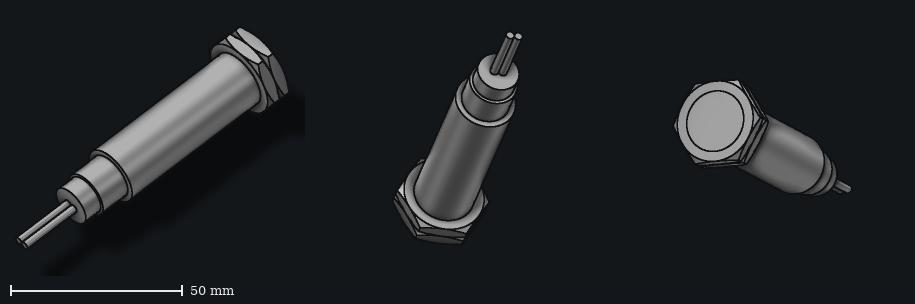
import cadquery as cq
import math

OVERALL_LENGTH = 96.0
SENSING_FACE_Y = OVERALL_LENGTH / 2

BARREL_DIAMETER = 18.0
BARREL_LENGTH = 60.0
COLLAR_DIAMETER = 14.4
COLLAR_LENGTH = 10.0
GLAND_DIAMETER = 12.5

CORE_DIAMETER = 2.5
CORE_GAP = 0.01
CABLE_LENGTH = 20.0

NUT_COUNT = 2
NUT_ACROSS_FLATS = 24.0
NUT_THICKNESS = 4.0
NUT_CHAMFER_ANGLE = 30.0

CORE_SPACING = CORE_DIAMETER + CORE_GAP
GLAND_LENGTH = OVERALL_LENGTH - BARREL_LENGTH - COLLAR_LENGTH - CABLE_LENGTH
NUT_ACROSS_CORNERS = NUT_ACROSS_FLATS / math.cos(math.radians(30))


def workplane_at(y):
    """XZ workplane at the given Y; positive extrusion runs toward -Y."""
    return cq.Workplane("XZ", origin=(0, y, 0))


def make_housing():
    """Stepped housing with its twin cable as one solid."""
    collar_start = SENSING_FACE_Y - BARREL_LENGTH
    gland_start = collar_start - COLLAR_LENGTH
    cable_start = gland_start - GLAND_LENGTH

    barrel = workplane_at(SENSING_FACE_Y).circle(BARREL_DIAMETER / 2).extrude(BARREL_LENGTH)
    collar = workplane_at(collar_start).circle(COLLAR_DIAMETER / 2).extrude(COLLAR_LENGTH)
    gland = workplane_at(gland_start).circle(GLAND_DIAMETER / 2).extrude(GLAND_LENGTH)
    body = barrel.union(collar).union(gland)

    for side in (-1, 1):
        core = (
            workplane_at(cable_start)
            .center(side * CORE_SPACING / 2, 0)
            .circle(CORE_DIAMETER / 2)
            .extrude(CABLE_LENGTH)
        )
        body = body.union(core)
    return body


def make_nut(back_y):
    """Hexagon nut with conically chamfered corners on both faces, bored to fit the barrel."""
    face_radius = NUT_ACROSS_FLATS / 2
    corner_radius = NUT_ACROSS_CORNERS / 2
    chamfer_height = (corner_radius - face_radius) * math.tan(math.radians(NUT_CHAMFER_ANGLE))
    front_y = back_y - NUT_THICKNESS

    hexagon = workplane_at(back_y).polygon(6, NUT_ACROSS_CORNERS).extrude(NUT_THICKNESS)
    chamfer_envelope = (
        cq.Workplane("XY")
        .moveTo(0, back_y)
        .lineTo(face_radius, back_y)
        .lineTo(corner_radius, back_y - chamfer_height)
        .lineTo(corner_radius, front_y + chamfer_height)
        .lineTo(face_radius, front_y)
        .lineTo(0, front_y)
        .close()
        .revolve(360, (0, 0, 0), (0, 1, 0))
    )
    bore = workplane_at(back_y).circle(BARREL_DIAMETER / 2).extrude(NUT_THICKNESS)
    return hexagon.intersect(chamfer_envelope).cut(bore)


housing = make_housing()
nuts = [make_nut(SENSING_FACE_Y - index * NUT_THICKNESS) for index in range(NUT_COUNT)]

result = cq.Compound.makeCompound([housing.val(), *[nut.val() for nut in nuts]])